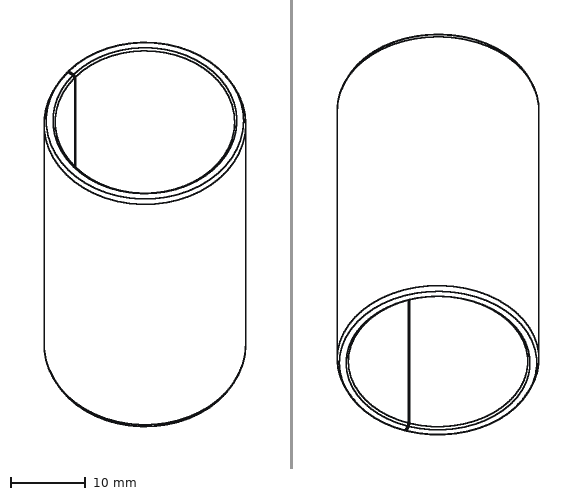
import cadquery as cq

length = 50.0
outer_diameter = 27.0
wall = 1.5
outer_radius = outer_diameter / 2
inner_radius = outer_radius - wall

chamfer_height = 0.8
chamfer_depth = 0.3
bore_chamfer = 0.3

gap_angle = 1.0


def wall_profile():
    """Half section of the wall on the -X side of the XZ plane."""
    return (
        cq.Workplane("XZ")
        .moveTo(-inner_radius - bore_chamfer, 0)
        .lineTo(-outer_radius + chamfer_depth, 0)
        .lineTo(-outer_radius, chamfer_height)
        .lineTo(-outer_radius, length - chamfer_height)
        .lineTo(-outer_radius + chamfer_depth, length)
        .lineTo(-inner_radius - bore_chamfer, length)
        .lineTo(-inner_radius, length - bore_chamfer)
        .lineTo(-inner_radius, bore_chamfer)
        .close()
    )


result = wall_profile().revolve(360 - gap_angle, (0, 0, 0), (0, 1, 0))